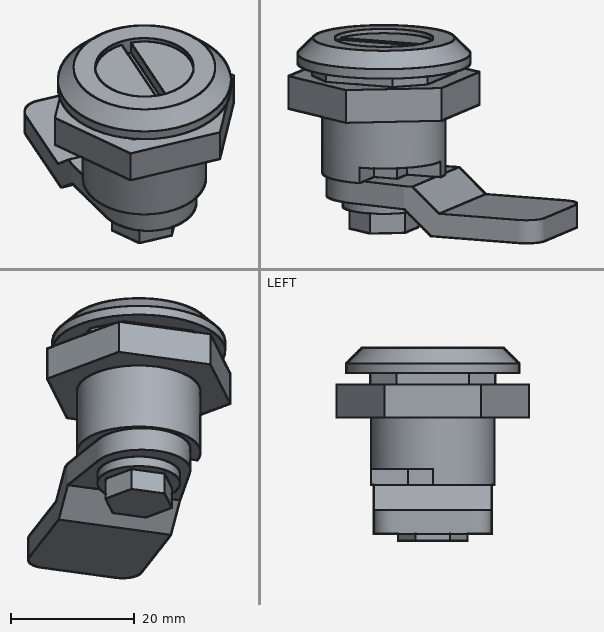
import cadquery as cq
import math


flange_diameter = 27.94
flange_height = 4.10
flange_chamfer = 2.54
recess_diameter = 15.88
recess_depth = 0.70
slot_width = 1.59
slot_depth = 2.0
neck_width = 20.24
neck_height = 1.82
neck_corner_cut = 4.28
barrel_diameter = 19.94
barrel_length = 18.04
notch_height = 2.54
drive_width = 8.06

nut_corner_diameter = 31.09
nut_height = 5.37

cam_thickness = 3.81
cam_width = 19.06
cam_reach = 30.94
cam_tip_radius = 3.2
cam_drop = 4.08
cam_ramp_length = 4.70
cam_ramp_top = -9.10
cam_end_radius = 7.87
cam_end_offset = 1.54

screw_flange_diameter = 13.34
screw_flange_height = 1.69
screw_head_flats = 9.75
screw_head_height = 3.53
screw_shank_diameter = 5.89
screw_shank_length = 12.0

nut_bottom = -(neck_height + nut_height)
barrel_bottom = -barrel_length
cam_bottom = barrel_bottom - cam_thickness
screw_flange_bottom = cam_bottom - screw_flange_height
screw_head_bottom = screw_flange_bottom - screw_head_height


def cylinder(diameter, bottom, height):
    return cq.Workplane("XY").workplane(offset=bottom).circle(diameter / 2).extrude(height)


def square_prism(width, bottom, height):
    return cq.Workplane("XY").workplane(offset=bottom).rect(width, width).extrude(height)


def hex_prism(corner_diameter, bottom, height):
    """Hexagonal prism with two opposite corners on the Y axis."""
    prism = cq.Workplane("XY").workplane(offset=bottom).polygon(6, corner_diameter).extrude(height)
    return prism.rotate((0, 0, 0), (0, 0, 1), 90)


def make_screw_shank():
    """Shank volume, used for the screw and for the hole that receives it."""
    return cylinder(screw_shank_diameter, cam_bottom, screw_shank_length)


def make_slotted_recess():
    """Round recess in the flange face with a screwdriver slot across its floor."""
    recess_floor = flange_height - recess_depth
    recess = cylinder(recess_diameter, recess_floor, recess_depth)
    slot_bar = (
        cq.Workplane("XY")
        .workplane(offset=recess_floor - slot_depth)
        .rect(recess_diameter, slot_width)
        .extrude(slot_depth)
    )
    slot = slot_bar.intersect(cylinder(recess_diameter, recess_floor - slot_depth, slot_depth))
    return recess.union(slot)


def make_stop_notch():
    """Quarter of the barrel end (-X, +Y) cut away around the square drive."""
    barrel_radius = barrel_diameter / 2
    quarter = (
        cq.Workplane("XY")
        .workplane(offset=barrel_bottom)
        .rect(-barrel_radius, barrel_radius, centered=False)
        .extrude(notch_height)
    )
    return quarter.cut(square_prism(drive_width, barrel_bottom, notch_height))


def make_housing():
    flange = cylinder(flange_diameter, 0, flange_height).faces(">Z").chamfer(flange_chamfer)
    neck = square_prism(neck_width, -neck_height, neck_height).edges("|Z").chamfer(neck_corner_cut)
    barrel = cylinder(barrel_diameter, barrel_bottom, barrel_length)
    drive = square_prism(drive_width, cam_bottom, cam_thickness)
    body = flange.union(neck).union(barrel).cut(make_stop_notch()).union(drive)
    return body.cut(make_slotted_recess()).cut(make_screw_shank())


def make_nut():
    nut = hex_prism(nut_corner_diameter, nut_bottom, nut_height)
    return nut.cut(cylinder(barrel_diameter, nut_bottom, nut_height))


def make_cam():
    """Cranked cam: side profile of constant thickness, trimmed to its plan outline."""
    ramp_bottom = cam_ramp_top - cam_ramp_length
    ramp_angle = math.atan2(cam_drop, cam_ramp_length)
    bend_shift = cam_thickness * math.tan(ramp_angle / 2)
    underside_bend = cam_ramp_top + bend_shift
    cam_end = cam_end_offset + cam_end_radius
    half_width = cam_width / 2

    profile = (
        cq.Workplane("XZ")
        .moveTo(-cam_reach, barrel_bottom - cam_drop)
        .lineTo(ramp_bottom, barrel_bottom - cam_drop)
        .lineTo(cam_ramp_top, barrel_bottom)
        .lineTo(cam_end, barrel_bottom)
        .lineTo(cam_end, cam_bottom)
        .lineTo(underside_bend, cam_bottom)
        .lineTo(ramp_bottom + bend_shift, cam_bottom - cam_drop)
        .lineTo(-cam_reach, cam_bottom - cam_drop)
        .close()
        .extrude(half_width, both=True)
    )

    taper_run = cam_end_offset - underside_bend
    corner_distance = math.hypot(taper_run, half_width)
    corner_angle = math.pi - math.atan2(half_width, taper_run)
    tangent_angle = corner_angle - math.acos(cam_end_radius / corner_distance)
    tangent_x = cam_end_offset + cam_end_radius * math.cos(tangent_angle)
    tangent_y = cam_end_radius * math.sin(tangent_angle)
    outline = (
        cq.Workplane("XY")
        .workplane(offset=cam_bottom - cam_drop)
        .moveTo(-cam_reach, -half_width)
        .lineTo(underside_bend, -half_width)
        .lineTo(tangent_x, -tangent_y)
        .threePointArc((cam_end, 0), (tangent_x, tangent_y))
        .lineTo(underside_bend, half_width)
        .lineTo(-cam_reach, half_width)
        .close()
        .extrude(cam_thickness + cam_drop)
        .edges("|Z and <X")
        .fillet(cam_tip_radius)
    )
    return profile.intersect(outline).cut(square_prism(drive_width, cam_bottom, cam_thickness))


def make_screw():
    head_corner_diameter = screw_head_flats / math.cos(math.pi / 6)
    head = hex_prism(head_corner_diameter, screw_head_bottom, screw_head_height)
    flange = cylinder(screw_flange_diameter, screw_flange_bottom, screw_flange_height)
    return head.union(flange).union(make_screw_shank())


housing = make_housing()
nut = make_nut()
cam = make_cam()
screw = make_screw()

result = cq.Compound.makeCompound([housing.val(), nut.val(), cam.val(), screw.val()])